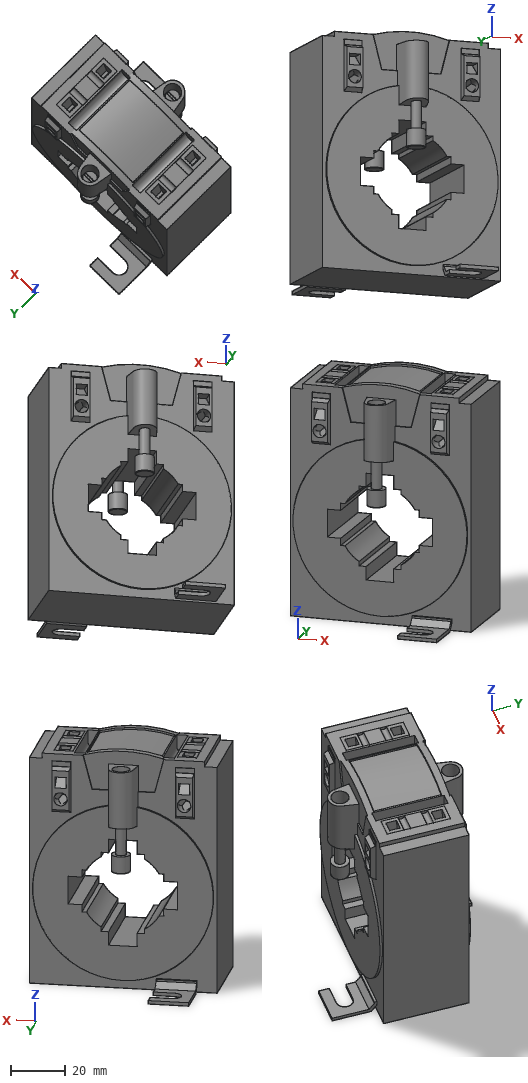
import cadquery as cq
import math

width = 70.0
height = 91.1
depth = 33.2
face_y = depth / 2
top_z = 88.9
shoulder_z = 87.0
shoulder_width = 60.6

crown_half_width = 15.0
crown_foot_half_width = 11.7
crown_foot_z = 75.9
crown_inset = 0.6
crown_rise = height - top_z
crown_radius = (crown_half_width**2 + crown_rise**2) / (2 * crown_rise)
label_length = 27.9
label_width = 26.3
label_depth = 0.7
groove_inner_x = 14.5
groove_outer_x = 18.7
groove_length = 28.05
groove_wall = 4.55

ring_radius = 33.7
ring_proud = 1.0
ring_face_y = face_y + ring_proud
window_z = 37.0
window_radius = 15.75
slot_length = 40.7
slot_width = 10.65
step_length = 30.4
step_width = 16.1

screw_y = 21.5
sleeve_radius = 4.55
sleeve_taper = 10.0
sleeve_top_z = 85.9
sleeve_root_y = face_y - crown_inset
sleeve_low_z = 62.9
sleeve_tip_z = 64.3
sleeve_bore = 6.6
sleeve_floor_z = 72.85

shank_diameter = 4.0
head_diameter = 5.5
head_height = 3.6
driver_slot_width = 0.9
driver_slot_depth = 1.4
cap_diameter = 7.1
cap_top_z = 53.2
cap_bottom_z = 46.5
cap_chamfer = 0.3
cap_socket_depth = 3.6

foot_x = 19.9
foot_width = 15.1
foot_span = 68.0
foot_end_y = foot_span / 2
foot_thickness = 1.4
foot_top_z = 4.5
foot_bend_z = 3.7
foot_root_z = 2.6
foot_stub = 1.0
foot_bend_outer = 3.1
foot_bend_inner = 2.2
foot_slot_width = 6.5
foot_slot_y = 26.7
foot_slot_centre_x = 20.2

terminal_x = 23.0
terminal_width = 7.0
terminal_length = 24.6
terminal_bottom_z = 66.7
plate_top_z = 86.1
plate_proud = 0.4
nose_top_z = 84.1
nose_width = 6.2
nose_proud = 2.1
nose_front_top_z = 83.05
nose_front_bottom_z = 68.0
well_size = 4.1
well_floor_width = 1.2
well_y = 8.8
well_depth = 8.2
finger_groove_y = 4.5
finger_groove_radius = 1.3
release_size = 4.2
release_z = 78.5
release_depth = 5.0
wire_diameter = 5.0
wire_z = 72.1
wire_straight = 2.7
wire_depth = 9.1
wire_floor_size = 2.1

both_sides = (-1, 1)


def box(x0, x1, y0, y1, z0, z1):
    return cq.Workplane("XY").box(x1 - x0, y1 - y0, z1 - z0, centered=False).translate((x0, y0, z0))


def centred_box(x_size, y_size, z0, z1):
    return box(-x_size / 2, x_size / 2, -y_size / 2, y_size / 2, z0, z1)


def extrude_along_y(sketch, y0, y1):
    """Extrude an outline of the XZ plane (normal -Y) from y0 to y1."""
    return sketch.extrude(y0 - y1).translate((0, y0, 0))


def xz():
    return cq.Workplane("XZ")


def half_turn(shape):
    """Turn a front feature to its matching place at the back."""
    return shape.rotate((0, 0, 0), (0, 0, 1), 180)


def terminal_block():
    upper = centred_box(terminal_width, terminal_length, terminal_bottom_z, top_z)
    lower = centred_box(terminal_width, depth, terminal_bottom_z, plate_top_z)
    return upper.union(lower)


def terminal_nose():
    """Thin plate and tapered nose on the front face."""
    plate = box(-terminal_width / 2, terminal_width / 2, -face_y - plate_proud, -face_y,
                nose_top_z, plate_top_z)
    root_height = nose_top_z - terminal_bottom_z
    front_height = nose_front_top_z - nose_front_bottom_z
    root_mid = (nose_top_z + terminal_bottom_z) / 2
    front_mid = (nose_front_top_z + nose_front_bottom_z) / 2
    nose = (xz().workplane(offset=face_y).center(0, root_mid).rect(terminal_width, root_height)
            .workplane(offset=nose_proud).center(0, front_mid - root_mid).rect(nose_width, front_height)
            .loft())
    return nose.union(plate)


def release_opening():
    """Square opening whose floor climbs from the lower front edge to the upper back edge."""
    nose_y = -face_y - nose_proud
    low = release_z - release_size / 2
    high = release_z + release_size / 2
    return (cq.Workplane("YZ").polyline([(nose_y, low), (nose_y, high), (nose_y + release_depth, high)])
            .close().extrude(release_size / 2, both=True))


def wire_opening():
    """Round hole whose inner end narrows to a small square floor."""
    nose_y = face_y + nose_proud
    taper_y = nose_y - wire_straight
    floor_y = nose_y - wire_depth
    bore = extrude_along_y(xz().center(0, wire_z).circle(wire_diameter / 2), -nose_y, -floor_y)
    straight = extrude_along_y(xz().center(0, wire_z).rect(wire_diameter, wire_diameter), -nose_y, -taper_y)
    funnel = (xz().workplane(offset=floor_y).center(0, wire_z).rect(wire_floor_size, wire_floor_size)
              .workplane(offset=taper_y - floor_y).rect(wire_diameter, wire_diameter).loft())
    return bore.intersect(straight.union(funnel))


def top_well():
    """Square well whose two X walls lean in towards a narrow floor."""
    mouth = well_size / 2
    floor = well_floor_width / 2
    wedge = xz().polyline([(-mouth, top_z), (mouth, top_z), (floor, top_z - well_depth),
                           (-floor, top_z - well_depth)]).close()
    return extrude_along_y(wedge, -well_y - mouth, -well_y + mouth)


def finger_groove():
    return (cq.Workplane("YZ").workplane(offset=-terminal_width / 2).center(-finger_groove_y, top_z)
            .circle(finger_groove_radius).extrude(terminal_width))


def make_terminal(x):
    body = terminal_block()
    nose = terminal_nose()
    body = body.union(nose).union(half_turn(nose))
    for cutter in (release_opening(), wire_opening(), top_well(), finger_groove()):
        body = body.cut(cutter).cut(half_turn(cutter))
    return body.translate((x, 0, 0))


def make_screw():
    shank_end_z = cap_top_z - cap_socket_depth
    head_top_z = sleeve_floor_z + head_height
    shank = (cq.Workplane("XY").workplane(offset=shank_end_z).circle(shank_diameter / 2)
             .extrude(sleeve_floor_z - shank_end_z))
    head = (cq.Workplane("XY").workplane(offset=sleeve_floor_z).circle(head_diameter / 2)
            .extrude(head_height))
    slot = centred_box(head_diameter, driver_slot_width, head_top_z - driver_slot_depth, head_top_z)
    return shank.union(head).cut(slot).translate((0, -screw_y, 0))


def make_cap():
    body = (cq.Workplane("XY").workplane(offset=cap_bottom_z).circle(cap_diameter / 2)
            .extrude(cap_top_z - cap_bottom_z).faces("<Z").edges().chamfer(cap_chamfer))
    socket = (cq.Workplane("XY").workplane(offset=cap_top_z - cap_socket_depth)
              .circle(shank_diameter / 2).extrude(cap_socket_depth))
    return body.cut(socket).translate((0, -screw_y, 0))


def make_foot():
    """Cranked sheet foot on the front face with a slot open towards the middle."""
    profile = [(0, foot_top_z), (foot_stub, foot_top_z), (foot_stub, foot_bend_z),
               (foot_bend_outer, foot_thickness), (foot_end_y - face_y, foot_thickness),
               (foot_end_y - face_y, 0), (foot_bend_inner, 0), (0, foot_root_z)]
    plate = (cq.Workplane("YZ").polyline([(-face_y - out, z) for out, z in profile]).close()
             .extrude(foot_width).translate((foot_x - foot_width / 2, 0, 0)))
    slot_end = (cq.Workplane("XY").center(foot_slot_centre_x, -foot_slot_y)
                .circle(foot_slot_width / 2).extrude(foot_thickness))
    slot_mouth = box(foot_x - foot_width / 2, foot_slot_centre_x, -foot_slot_y - foot_slot_width / 2,
                     -foot_slot_y + foot_slot_width / 2, 0, foot_thickness)
    return plate.cut(slot_end).cut(slot_mouth)


def housing_block():
    outline = (xz().moveTo(-width / 2, 0).lineTo(width / 2, 0).lineTo(width / 2, shoulder_z)
               .lineTo(shoulder_width / 2, shoulder_z).lineTo(shoulder_width / 2, top_z)
               .lineTo(crown_half_width, top_z)
               .threePointArc((0, height), (-crown_half_width, top_z))
               .lineTo(-shoulder_width / 2, top_z).lineTo(-shoulder_width / 2, shoulder_z)
               .lineTo(-width / 2, shoulder_z).close())
    return extrude_along_y(outline, -face_y, face_y)


def crown_panel_recess():
    outline = xz().polyline([(-crown_foot_half_width, crown_foot_z), (crown_foot_half_width, crown_foot_z),
                             (crown_half_width, top_z), (crown_half_width, height),
                             (-crown_half_width, height), (-crown_half_width, top_z)]).close()
    return extrude_along_y(outline, -face_y, -face_y + crown_inset)


def label_recess():
    """Shallow recess whose floor follows the crown."""
    area = centred_box(label_length, label_width, crown_foot_z, height)
    core = extrude_along_y(xz().center(0, height - crown_radius).circle(crown_radius - label_depth),
                           -face_y, face_y)
    return area.cut(core)


def crown_groove():
    """Groove with a half-round floor beside the crown, on the +X side."""
    radius = (groove_outer_x - groove_inner_x) / 2
    middle_x = (groove_inner_x + groove_outer_x) / 2
    floor_axis_z = top_z - groove_wall
    outline = (xz().moveTo(groove_inner_x, height).lineTo(groove_inner_x, floor_axis_z)
               .threePointArc((middle_x, floor_axis_z - radius), (groove_outer_x, floor_axis_z))
               .lineTo(groove_outer_x, height).close())
    return extrude_along_y(outline, -groove_length / 2, groove_length / 2)


def ring():
    return extrude_along_y(xz().center(0, window_z).circle(ring_radius), -ring_face_y, ring_face_y)


def window():
    """Round opening crossed by stepped slots both ways."""
    shape = extrude_along_y(xz().center(0, window_z).circle(window_radius), -ring_face_y, ring_face_y)
    for length, across in ((slot_length, slot_width), (step_length, step_width)):
        for size_x, size_z in ((length, across), (across, length)):
            bar = xz().center(0, window_z).rect(size_x, size_z)
            shape = shape.union(extrude_along_y(bar, -ring_face_y, ring_face_y))
    return shape


def sleeve():
    """Tapered sleeve on the front face with a sloping lower end."""
    taper = math.radians(sleeve_taper)
    tangent_x = sleeve_radius * math.cos(taper)
    tangent_y = screw_y + sleeve_radius * math.sin(taper)
    root_x = tangent_x + (tangent_y - sleeve_root_y) * math.tan(taper)
    tip_y = screw_y + sleeve_radius
    plan = (cq.Workplane("XY").moveTo(-root_x, -sleeve_root_y).lineTo(-tangent_x, -tangent_y)
            .threePointArc((0, -tip_y), (tangent_x, -tangent_y))
            .lineTo(root_x, -sleeve_root_y).close().extrude(sleeve_top_z))
    side = (cq.Workplane("YZ").polyline([(-sleeve_root_y, sleeve_top_z), (-tip_y, sleeve_top_z),
                                         (-tip_y, sleeve_tip_z), (-ring_face_y, sleeve_low_z),
                                         (-sleeve_root_y, sleeve_low_z)])
            .close().extrude(root_x, both=True))
    return plan.intersect(side)


def sleeve_hole():
    """Wide bore for the screw head above a close hole for the shank."""
    bore = (cq.Workplane("XY").workplane(offset=sleeve_floor_z).circle(sleeve_bore / 2)
            .extrude(sleeve_top_z - sleeve_floor_z))
    shank_hole = cq.Workplane("XY").circle(shank_diameter / 2).extrude(sleeve_floor_z)
    return bore.union(shank_hole).translate((0, -screw_y, 0))


def make_housing():
    body = housing_block()
    panel = crown_panel_recess()
    body = body.cut(panel).cut(half_turn(panel)).cut(label_recess())
    groove = crown_groove()
    body = body.cut(groove).cut(half_turn(groove))
    body = body.union(ring()).cut(window())
    front_sleeve = sleeve().cut(sleeve_hole())
    body = body.union(front_sleeve).union(half_turn(front_sleeve))
    for side in both_sides:
        body = body.cut(terminal_block().translate((side * terminal_x, 0, 0)))
    return body


housing = make_housing()
terminals = [make_terminal(side * terminal_x) for side in both_sides]
screws = []
caps = []
feet = []
for make_body, copies in ((make_screw, screws), (make_cap, caps), (make_foot, feet)):
    copies.append(make_body())
    copies.append(half_turn(make_body()))

bodies = [housing, *terminals, *screws, *caps, *feet]
result = cq.Compound.makeCompound([body.solids().val() for body in bodies])